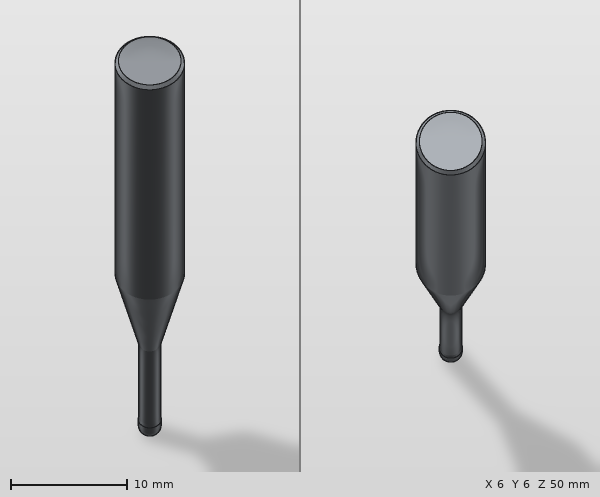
import cadquery as cq
import math

total_length = 50.0
shank_radius = 3.0

ball_radius = 1.0
head_top = 1.75

neck_radius = 0.95
neck_bottom = 2.15
neck_top = 11.95
shank_bottom = 21.4
shank_chamfer = 0.3


def make_cutting_head():
    """Ball nose running into a short cylinder of the same radius."""
    arc_offset = ball_radius * math.sqrt(0.5)
    profile = (
        cq.Workplane("XZ")
        .moveTo(0, 0)
        .threePointArc((arc_offset, ball_radius - arc_offset), (ball_radius, ball_radius))
        .lineTo(ball_radius, head_top)
        .lineTo(0, head_top)
        .close()
    )
    return profile.revolve(360, (0, 0, 0), (0, 1, 0))


def make_holder():
    """Relief cone, slim neck, long taper and shank with a chamfered end."""
    profile = (
        cq.Workplane("XZ")
        .moveTo(0, head_top)
        .lineTo(ball_radius, head_top)
        .lineTo(neck_radius, neck_bottom)
        .lineTo(neck_radius, neck_top)
        .lineTo(shank_radius, shank_bottom)
        .lineTo(shank_radius, total_length - shank_chamfer)
        .lineTo(shank_radius - shank_chamfer, total_length)
        .lineTo(0, total_length)
        .close()
    )
    return profile.revolve(360, (0, 0, 0), (0, 1, 0))


cutting_head = make_cutting_head()
holder = make_holder()

result = cq.Compound.makeCompound([cutting_head.val(), holder.val()])